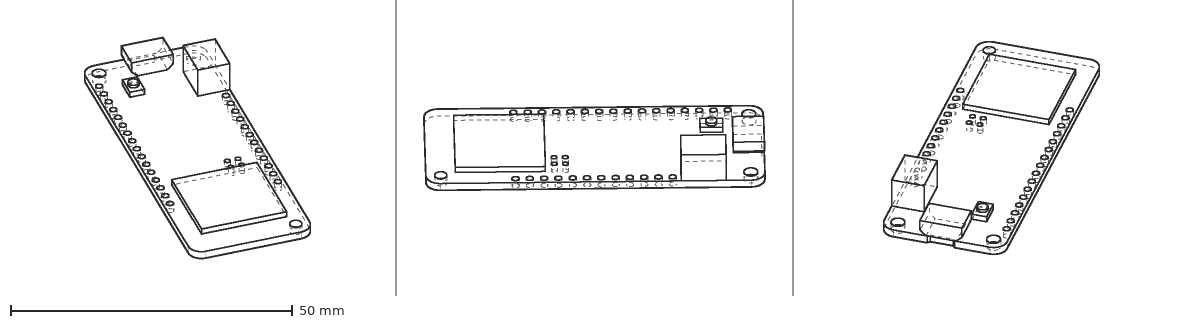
import cadquery as cq


board_length = 60.3
board_width = 22.85
board_thickness = 1.5
overall_height = 7.2
corner_radius = 2.5
left_edge = 0.0
back_edge = board_width / 2

mount_inset = 2.55
mount_y = back_edge - mount_inset
left_mount_diameter = 2.5
right_mount_diameter = 2.2
right_mount_inset = 2.65
right_mount_x = board_length - right_mount_inset

pin_diameter = 1.25
front_pin_count = 16
back_pin_count = 12
first_pin_x = 6.3
pin_row_length = 38.1
pin_pitch = pin_row_length / (front_pin_count - 1)
pin_row_spacing = 8 * pin_pitch
pin_row_y = pin_row_spacing / 2

small_hole_diameter = 1.0
small_hole_pitch = 2.0
small_group_x = 36.45
small_group_y = 4.75

usb_length = 5.55
usb_width = 7.85
usb_height = 3.1
usb_bevel = 1.1
usb_y = 0.1

notch_mouth = 5.1
notch_floor = 4.2
notch_depth = 0.5

battery_x = 6.95
battery_length = 8.0
battery_depth = 6.05
battery_height = overall_height - board_thickness

button_x = 9.3
button_y = -4.75
button_length = 4.05
button_width = 2.8
button_base_height = 1.1
button_cap_diameter = 2.0
button_cap_height = 0.55

module_x = 39.05
module_y = 0.05
module_side = 16.05
module_height = 1.1


def through_holes(points, diameter):
    return cq.Workplane("XY").pushPoints(points).circle(diameter / 2).extrude(board_thickness)


def pin_points():
    last_x = first_pin_x + pin_row_length
    front = [(last_x - i * pin_pitch, -pin_row_y) for i in range(front_pin_count)]
    back = [(last_x - i * pin_pitch, pin_row_y) for i in range(back_pin_count)]
    return front + back


def small_hole_points():
    half = small_hole_pitch / 2
    return [(small_group_x + dx, small_group_y + dy) for dx in (-half, half) for dy in (-half, half)]


def make_notch():
    return (
        cq.Workplane("XY")
        .moveTo(left_edge, usb_y - notch_mouth / 2)
        .lineTo(left_edge + notch_depth, usb_y - notch_floor / 2)
        .lineTo(left_edge + notch_depth, usb_y + notch_floor / 2)
        .lineTo(left_edge, usb_y + notch_mouth / 2)
        .close()
        .extrude(board_thickness)
    )


def make_board():
    blank = (
        cq.Workplane("XY")
        .box(board_length, board_width, board_thickness, centered=(False, True, False))
        .edges("|Z")
        .fillet(corner_radius)
    )
    left_mounts = [(left_edge + mount_inset, mount_y), (left_edge + mount_inset, -mount_y)]
    return (
        blank.cut(through_holes(left_mounts, left_mount_diameter))
        .cut(through_holes([(right_mount_x, mount_y)], right_mount_diameter))
        .cut(through_holes(pin_points(), pin_diameter))
        .cut(through_holes(small_hole_points(), small_hole_diameter))
        .cut(make_notch())
    )


def block_on_board(x, y, length, width, height):
    """Block standing on the board, with its left face at x and centred on y."""
    return (
        cq.Workplane("XY", origin=(x, y, board_thickness))
        .box(length, width, height, centered=(False, True, False))
    )


def make_usb_connector():
    shell = block_on_board(left_edge, usb_y, usb_length, usb_width, usb_height)
    return shell.edges("|X and <Z").chamfer(usb_bevel)


def make_battery_connector():
    centre_y = back_edge - battery_depth / 2
    return block_on_board(battery_x, centre_y, battery_length, battery_depth, battery_height)


def make_button():
    base = block_on_board(
        button_x - button_length / 2, button_y, button_length, button_width, button_base_height
    )
    return (
        base.faces(">Z")
        .workplane(centerOption="CenterOfMass")
        .circle(button_cap_diameter / 2)
        .extrude(button_cap_height)
    )


def make_module():
    return block_on_board(module_x, module_y, module_side, module_side, module_height)


board = make_board()
usb_connector = make_usb_connector()
battery_connector = make_battery_connector()
button = make_button()
module = make_module()

result = cq.Compound.makeCompound([
    board.val(),
    usb_connector.val(),
    battery_connector.val(),
    button.val(),
    module.val(),
])